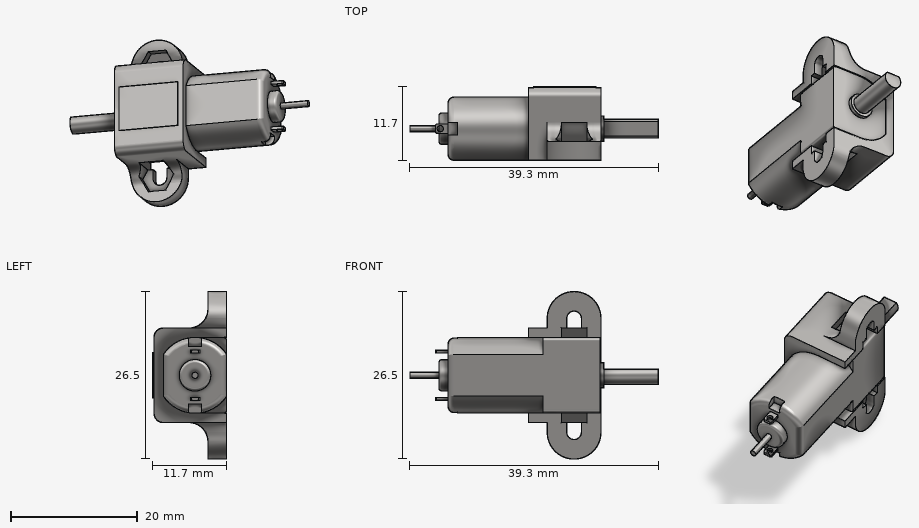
import cadquery as cq
import math


motor_width = 11.98
motor_depth = 10.0
can_length = 15.0
can_rim_radius = 1.0
gearbox_length = 9.0
gearbox_corner_radius = 0.5

rear_boss_diameter = 5.0
rear_boss_length = 1.45
rear_boss_round = 0.5
axle_diameter = 1.0
axle_length = 4.55
notch_width = 2.0
notch_length = 1.5
notch_floor = 4.55
terminal_length = 2.0
terminal_width = 1.5
terminal_thickness = 0.47
terminal_height = 3.75
terminal_hole_diameter = 1.0
terminal_hole_inset = 0.8
terminal_chamfer = 0.2

output_boss_diameter = 4.0
output_boss_length = 0.63
shaft_diameter = 3.0
shaft_flat_height = 1.0

wall = 1.5
bracket_length = 11.45
bracket_overhang = 0.2
ear_span = 26.5
ear_width = 8.52
ear_thickness = 3.0
ear_fillet_radius = 3.0
slot_width = 2.28
nut_across_flats = 5.0
nut_floor_thickness = 1.5
raised_panel_length = 9.8
raised_panel_width = 7.15
raised_panel_height = 0.2

overall_length = 39.27
can_rear_x = -can_length
rear_tip_x = can_rear_x - rear_boss_length - axle_length
shaft_tip_x = rear_tip_x + overall_length
output_face_x = gearbox_length + output_boss_length
bracket_front_x = gearbox_length + bracket_overhang
bracket_rear_x = bracket_front_x - bracket_length
mount_y = -motor_depth / 2
bracket_back_y = motor_depth / 2 + wall
bracket_half_width = motor_width / 2 + wall
nut_floor_y = mount_y + nut_floor_thickness
ear_face_y = mount_y + ear_thickness
fillet_end_y = ear_face_y + ear_fillet_radius
fillet_top_z = bracket_half_width + ear_fillet_radius
ear_center_x = bracket_front_x - ear_width / 2
ear_center_z = ear_span / 2 - ear_width / 2


def box(x0, x1, y0, y1, z0, z1):
    """Block between two opposite corners."""
    return cq.Workplane("XY").box(x1 - x0, y1 - y0, z1 - z0, centered=False).translate((x0, y0, z0))


def rod(diameter, x0, x1):
    """Cylinder on the shaft axis."""
    return cq.Workplane("YZ").workplane(offset=x0).circle(diameter / 2).extrude(x1 - x0)


def both_sides(body):
    """The body together with its mirror image below the axis."""
    return body.union(body.mirror("XY"))


def flatted_rod(x0, x1):
    """Rod with the motor's section: round, with a flat on the -Y and +Y sides."""
    flats = box(x0, x1, mount_y, -mount_y, -motor_width, motor_width)
    return rod(motor_width, x0, x1).intersect(flats)


def motor_can():
    """Flatted can with a rounded rear rim and a notch at top and bottom."""
    can = flatted_rod(can_rear_x, 0)
    can = can.faces("<X").edges().fillet(can_rim_radius)
    notch = box(
        can_rear_x, can_rear_x + notch_length,
        -notch_width / 2, notch_width / 2,
        notch_floor, motor_width,
    )
    return can.cut(both_sides(notch))


def rear_axle():
    """Rounded bearing boss with the thin axle behind it."""
    boss_x = can_rear_x - rear_boss_length
    boss = rod(rear_boss_diameter, boss_x, can_rear_x).faces("<X").edges().fillet(rear_boss_round)
    return boss.union(rod(axle_diameter, rear_tip_x, boss_x))


def terminals():
    """Two pierced solder tabs with chamfered tips."""
    tip_x = can_rear_x - terminal_length
    tab = box(
        tip_x, can_rear_x,
        -terminal_width / 2, terminal_width / 2,
        -terminal_thickness / 2, terminal_thickness / 2,
    )
    tab = tab.edges("<X and |Z").chamfer(terminal_chamfer)
    hole = (
        cq.Workplane("XY")
        .center(tip_x + terminal_hole_inset, 0)
        .circle(terminal_hole_diameter / 2)
        .extrude(terminal_thickness, both=True)
    )
    return both_sides(tab.cut(hole).translate((0, 0, terminal_height)))


def gearbox():
    """Rectangular gearbox with rounded long edges."""
    block = box(0, gearbox_length, mount_y, -mount_y, -motor_width / 2, motor_width / 2)
    return block.edges("|X").fillet(gearbox_corner_radius)


def output_shaft():
    """Front boss and D-shaped shaft."""
    boss = rod(output_boss_diameter, gearbox_length, output_face_x)
    shaft = rod(shaft_diameter, output_face_x, shaft_tip_x)
    removed = box(
        output_face_x, shaft_tip_x,
        -shaft_diameter, shaft_diameter,
        shaft_flat_height, shaft_diameter,
    )
    return boss.union(shaft.cut(removed))


def channel():
    """Strap shaped to the can's back half, open at the mounting face, with a panel on its back."""
    outer = box(
        bracket_rear_x, bracket_front_x,
        mount_y, bracket_back_y,
        -bracket_half_width, bracket_half_width,
    )
    outer = outer.edges(">Y and |X").fillet(wall)
    opening = box(
        bracket_rear_x, bracket_front_x,
        mount_y, 0,
        -motor_width / 2, motor_width / 2,
    )
    inner = opening.union(flatted_rod(bracket_rear_x, bracket_front_x))
    panel_x = (bracket_rear_x + bracket_front_x - raised_panel_length) / 2
    panel = box(
        panel_x, panel_x + raised_panel_length,
        bracket_back_y, bracket_back_y + raised_panel_height,
        -raised_panel_width / 2, raised_panel_width / 2,
    )
    return outer.cut(inner).union(panel)


def ear():
    """Upper ear: rounded tab and the concave web that blends it into the strap."""
    half_width = ear_width / 2
    tab = (
        cq.Workplane("XZ", origin=(ear_center_x, mount_y, 0))
        .moveTo(-half_width, bracket_half_width)
        .lineTo(-half_width, ear_center_z)
        .threePointArc((0, ear_span / 2), (half_width, ear_center_z))
        .lineTo(half_width, bracket_half_width)
        .close()
        .extrude(-ear_thickness)
    )
    arc_offset = ear_fillet_radius * math.sqrt(0.5)
    web = (
        cq.Workplane("YZ", origin=(ear_center_x - half_width, 0, 0))
        .moveTo(ear_face_y, bracket_half_width)
        .lineTo(ear_face_y, fillet_top_z)
        .threePointArc(
            (fillet_end_y - arc_offset, fillet_top_z - arc_offset),
            (fillet_end_y, bracket_half_width),
        )
        .close()
        .extrude(ear_width)
    )
    outline = tab.faces("<Y").wires().toPending().workplane().extrude(mount_y - fillet_end_y)
    return tab.union(web.intersect(outline))


def ear_cutouts():
    """Screw slot, hexagonal nut seat sunk into the ear's back, and the nut's way in through the strap."""
    slot = (
        cq.Workplane("XZ", origin=(ear_center_x, mount_y, ear_center_z))
        .circle(slot_width / 2)
        .extrude(-ear_thickness)
    )
    slot = slot.union(box(
        ear_center_x - slot_width / 2, ear_center_x + slot_width / 2,
        mount_y, ear_face_y,
        motor_width / 2, ear_center_z,
    ))
    nut_across_corners = nut_across_flats / math.cos(math.pi / 6)
    nut_seat = (
        cq.Workplane("XZ", origin=(ear_center_x, nut_floor_y, ear_center_z))
        .polygon(6, nut_across_corners)
        .extrude(nut_floor_y - fillet_end_y)
    )
    drop = ear_center_z - bracket_half_width
    passage_half_width = nut_across_corners / 2 - drop * math.tan(math.pi / 6)
    passage = box(
        ear_center_x - passage_half_width, ear_center_x + passage_half_width,
        mount_y, fillet_end_y,
        motor_width / 2, bracket_half_width,
    )
    return slot.union(nut_seat).union(passage)


bracket = channel().union(both_sides(ear())).cut(both_sides(ear_cutouts()))

result = bracket.union(gearbox())
for body in (motor_can(), rear_axle(), terminals(), output_shaft()):
    result = result.union(body)